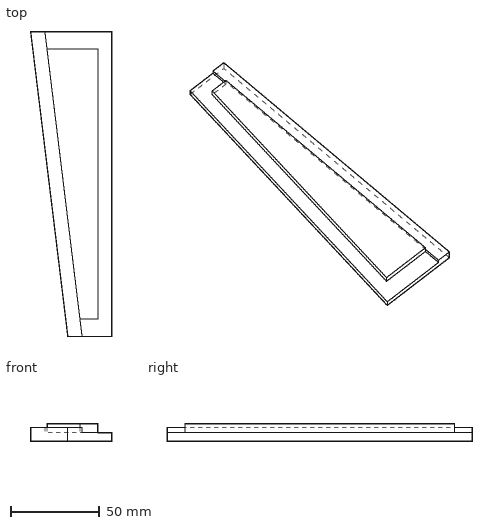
import cadquery as cq

length = 173.0
back_width = 46.2
front_width = 25.0
total_height = 10.0

base_height = 5.0
rail_height = 8.0
rail_width = 8.1
pad_end_margin = 10.0
pad_side_margin = 8.0

right_x = back_width / 2
front_y = -length / 2
back_y = length / 2


def sloped_edge_x(y):
    """X of the sloping left side at a given Y."""
    fraction = (y - front_y) / length
    return right_x - front_width - (back_width - front_width) * fraction


def prism(points, height):
    return cq.Workplane("XY").polyline(points).close().extrude(height)


def wedge(left_offset, right_side_x, start_y, end_y, height):
    """Block with a straight right side and a left side parallel to the slope."""
    points = [
        (sloped_edge_x(start_y) + left_offset, start_y),
        (right_side_x, start_y),
        (right_side_x, end_y),
        (sloped_edge_x(end_y) + left_offset, end_y),
    ]
    return prism(points, height)


base = wedge(0, right_x, front_y, back_y, base_height)

rail_points = [
    (sloped_edge_x(front_y), front_y),
    (sloped_edge_x(front_y) + rail_width, front_y),
    (sloped_edge_x(back_y) + rail_width, back_y),
    (sloped_edge_x(back_y), back_y),
]
rail = prism(rail_points, rail_height)

pad = wedge(
    rail_width,
    right_x - pad_side_margin,
    front_y + pad_end_margin,
    back_y - pad_end_margin,
    total_height,
)

result = base.union(rail).union(pad)